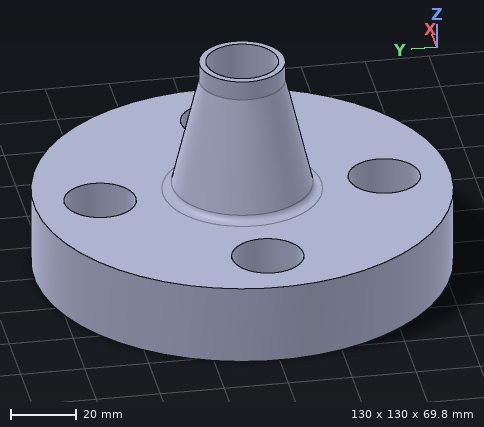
import cadquery as cq

flange_diameter = 130.0
flange_thickness = 25.5

overall_height = 69.8
neck_diameter = 26.7
neck_length = 6.2
hub_base_diameter = 44.7
hub_fillet_radius = 3.0
bore_diameter = 22.4

bolt_circle_diameter = 88.8
bolt_hole_diameter = 22.2
bolt_hole_count = 4

hub_top = overall_height - neck_length
selection_margin = 0.1


def make_flange():
    return cq.Workplane("XY").circle(flange_diameter / 2).extrude(flange_thickness)


def make_weld_neck():
    """Tapered hub with a short straight neck, standing on the flange face."""
    profile = [
        (0, flange_thickness),
        (hub_base_diameter / 2, flange_thickness),
        (neck_diameter / 2, hub_top),
        (neck_diameter / 2, overall_height),
        (0, overall_height),
    ]
    return cq.Workplane("XZ").polyline(profile).close().revolve(360, (0, 0), (0, 1))


def fillet_hub_base(body):
    """Blend the taper into the flange face, picking the edge with a thin box around it."""
    reach = hub_base_diameter / 2 + selection_margin
    base_edge = cq.selectors.BoxSelector(
        (-reach, -reach, flange_thickness - selection_margin),
        (reach, reach, flange_thickness + selection_margin),
        boundingbox=True,
    )
    return body.edges(base_edge).fillet(hub_fillet_radius)


def cut_bore(body):
    bore = cq.Workplane("XY").circle(bore_diameter / 2).extrude(overall_height)
    return body.cut(bore)


def cut_bolt_holes(body):
    holes = (
        cq.Workplane("XY")
        .polarArray(bolt_circle_diameter / 2, 0, 360, bolt_hole_count)
        .circle(bolt_hole_diameter / 2)
        .extrude(flange_thickness)
    )
    return body.cut(holes)


body = make_flange().union(make_weld_neck())
body = fillet_hub_base(body)
body = cut_bore(body)
result = cut_bolt_holes(body)